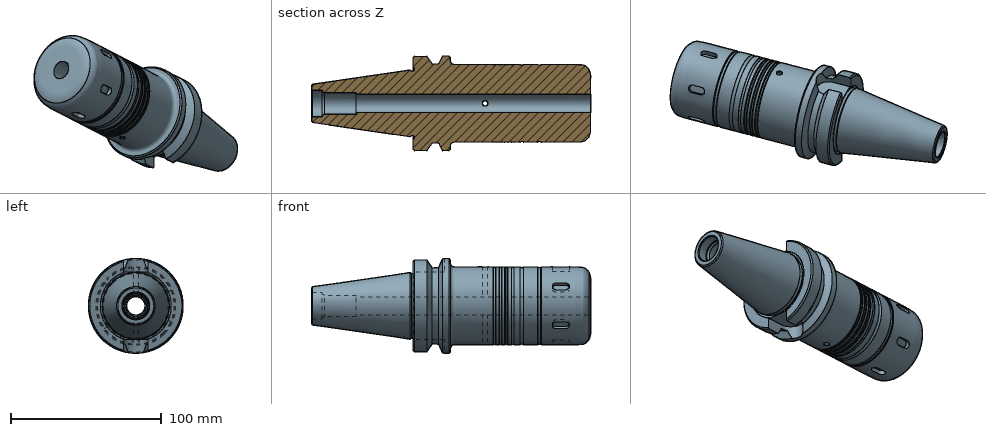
import cadquery as cq
import math

TOTAL_LENGTH = 185.4

TAPER_LARGE_RADIUS = 22.2
TAPER_LENGTH = 65.5
TAPER_RATIO = 7 / 24
TAPER_SMALL_RADIUS = TAPER_LARGE_RADIUS - TAPER_LENGTH * TAPER_RATIO / 2
TAPER_END_CHAMFER = 0.7
RELIEF_RADIUS = 21.5
RELIEF_SLOPE_LENGTH = 0.7
RELIEF_ROOT_RADIUS = 21.9
RELIEF_ROOT_LENGTH = 1.3

FLANGE_RADIUS = 31.5
FLANGE_START = 67.3
FLANGE_END = 92.1
FLANGE_CHAMFER = 1.0
FACE_RECESS_RADIUS = 23.5
FACE_RECESS_DEPTH = 0.7
GRIP_GROOVE_RADIUS = 26.5
GRIP_GROOVE_START = 76.5
GRIP_GROOVE_WIDTH = 10.2
GRIP_FLOOR_START = 80.1
GRIP_FLOOR_WIDTH = 4.3
KEY_SLOT_WIDTH = 16.1
KEY_SLOT_FLOOR = 22.5
KEY_SLOT_END = 88.3

BODY_RADIUS = 26.0
BODY_FILLET = 2.6

FINE_GROOVE_COUNT = 3
FINE_GROOVE_START = 120.3
FINE_GROOVE_PITCH = 3.9
FINE_GROOVE_WIDTH = 2.2
FINE_GROOVE_WALL = 0.5
FINE_GROOVE_DEPTH = 0.2
SQUARE_GROOVE_START = 132.5
SQUARE_GROOVE_WIDTH = 1.7
SQUARE_GROOVE_DEPTH = 0.2
ROUND_GROOVE_START = 138.3
ROUND_GROOVE_WIDTH = 2.5
ROUND_GROOVE_DEPTH = 0.5
NUT_GAP_START = 149.8
NUT_GAP_WIDTH = 2.8
NUT_GAP_WALL = 0.5
NUT_GAP_DEPTH = 0.46

NOSE_START = 175.2
NOSE_SHOULDER = 180.2
NOSE_SHOULDER_RADIUS = 25.5
NOSE_BEVEL_START = 182.5
NOSE_BEVEL_START_RADIUS = 24.3
NOSE_ARC_RISE = 0.2
NOSE_BEVEL_END = 184.1
NOSE_BEVEL_END_RADIUS = 22.6
NOSE_CROWN_X = 184.8
NOSE_CROWN_RADIUS = 20.5
NOSE_FACE_RADIUS = 16.9

WRENCH_SLOT_COUNT = 6
WRENCH_SLOT_CENTER = 165.4
WRENCH_SLOT_LENGTH = 11.3
WRENCH_SLOT_WIDTH = 5.2
WRENCH_SLOT_DEPTH = 3.2

BORE_MOUTH_CHAMFER = 0.5
PILOT_RADIUS = 8.7
PILOT_DEPTH = 7.0
THREAD_ENTRY_RADIUS = 8.0
THREAD_ENTRY_LENGTH = 1.5
THREAD_RADIUS = 7.0
THREAD_DEPTH = 29.7
THROUGH_DIAMETER = 12.0

CROSS_HOLE_X = 115.1
CROSS_HOLE_RADIUS = 1.7
CROSS_HOLE_MOUTH_RADIUS = 2.0


def turn(profile):
    """Revolve a closed (x, radius) profile about the X axis."""
    return profile.close().revolve(360, (0, 0, 0), (1, 0, 0))


def shank():
    """Taper with a chamfered end, followed by the relief neck running into the flange."""
    neck_end = FLANGE_START + FACE_RECESS_DEPTH
    return turn(
        cq.Workplane("XY")
        .lineTo(0, TAPER_SMALL_RADIUS - TAPER_END_CHAMFER)
        .lineTo(TAPER_END_CHAMFER, TAPER_SMALL_RADIUS + TAPER_END_CHAMFER * TAPER_RATIO / 2)
        .lineTo(TAPER_LENGTH, TAPER_LARGE_RADIUS)
        .lineTo(TAPER_LENGTH + RELIEF_SLOPE_LENGTH, RELIEF_RADIUS)
        .lineTo(neck_end - RELIEF_ROOT_LENGTH, RELIEF_RADIUS)
        .lineTo(neck_end, RELIEF_ROOT_RADIUS)
        .lineTo(neck_end, 0)
    )


def flange():
    """Grooved flange with a shallow recess in its face around the neck."""
    rim_radius = FLANGE_RADIUS - FLANGE_CHAMFER
    recess_floor = FLANGE_START + FACE_RECESS_DEPTH
    blank = turn(
        cq.Workplane("XY")
        .moveTo(recess_floor, 0)
        .lineTo(recess_floor, FACE_RECESS_RADIUS)
        .lineTo(FLANGE_START, FACE_RECESS_RADIUS)
        .lineTo(FLANGE_START, rim_radius)
        .lineTo(FLANGE_START + FLANGE_CHAMFER, FLANGE_RADIUS)
        .lineTo(GRIP_GROOVE_START, FLANGE_RADIUS)
        .lineTo(GRIP_FLOOR_START, GRIP_GROOVE_RADIUS)
        .lineTo(GRIP_FLOOR_START + GRIP_FLOOR_WIDTH, GRIP_GROOVE_RADIUS)
        .lineTo(GRIP_GROOVE_START + GRIP_GROOVE_WIDTH, FLANGE_RADIUS)
        .lineTo(FLANGE_END - FLANGE_CHAMFER, FLANGE_RADIUS)
        .lineTo(FLANGE_END, rim_radius)
        .lineTo(FLANGE_END, 0)
    )
    for side in (0, 180):
        blank = blank.cut(key_slot().rotate((0, 0, 0), (1, 0, 0), side))
    return blank


def key_slot():
    """Flat-floored slot on the +Z side, open toward the taper and round at the other end."""
    end_radius = KEY_SLOT_WIDTH / 2
    arc_center = KEY_SLOT_END - end_radius
    return (
        cq.Workplane("XY", origin=(0, 0, KEY_SLOT_FLOOR))
        .moveTo(FLANGE_START, -end_radius)
        .lineTo(arc_center, -end_radius)
        .threePointArc((KEY_SLOT_END, 0), (arc_center, end_radius))
        .lineTo(FLANGE_START, end_radius)
        .close()
        .extrude(FLANGE_RADIUS - KEY_SLOT_FLOOR)
    )


def body():
    """Body and nut as one cylinder, filleted into the flange and rounded off at the nose."""
    fillet_mid = BODY_FILLET * (1 - math.sqrt(0.5))
    arc_mid_x = (NOSE_SHOULDER + NOSE_BEVEL_START) / 2
    arc_mid_radius = (NOSE_SHOULDER_RADIUS + NOSE_BEVEL_START_RADIUS) / 2 + NOSE_ARC_RISE
    return turn(
        cq.Workplane("XY")
        .moveTo(FLANGE_END, 0)
        .lineTo(FLANGE_END, BODY_RADIUS + BODY_FILLET)
        .threePointArc(
            (FLANGE_END + fillet_mid, BODY_RADIUS + fillet_mid),
            (FLANGE_END + BODY_FILLET, BODY_RADIUS),
        )
        .lineTo(NOSE_START, BODY_RADIUS)
        .lineTo(NOSE_SHOULDER, NOSE_SHOULDER_RADIUS)
        .threePointArc((arc_mid_x, arc_mid_radius), (NOSE_BEVEL_START, NOSE_BEVEL_START_RADIUS))
        .lineTo(NOSE_BEVEL_END, NOSE_BEVEL_END_RADIUS)
        .threePointArc((NOSE_CROWN_X, NOSE_CROWN_RADIUS), (TOTAL_LENGTH, NOSE_FACE_RADIUS))
        .lineTo(TOTAL_LENGTH, 0)
    )


def flat_groove(start, width, depth, wall_run=0):
    """Flat-floored ring; wall_run is how far each wall leans along X, zero for square walls."""
    end = start + width
    floor_radius = BODY_RADIUS - depth
    clear_radius = BODY_RADIUS + depth
    profile = [
        (start, clear_radius),
        (start, BODY_RADIUS),
        (start + wall_run, floor_radius),
        (end - wall_run, floor_radius),
        (end, BODY_RADIUS),
        (end, clear_radius),
    ]
    return turn(cq.Workplane("XY").polyline(profile))


def round_groove(start, width, depth):
    """Ring with an arc-shaped floor."""
    end = start + width
    clear_radius = BODY_RADIUS + depth
    return turn(
        cq.Workplane("XY")
        .moveTo(start, clear_radius)
        .lineTo(start, BODY_RADIUS)
        .threePointArc((start + width / 2, BODY_RADIUS - depth), (end, BODY_RADIUS))
        .lineTo(end, clear_radius)
    )


def ring_grooves():
    """All ring grooves along the body."""
    grooves = flat_groove(NUT_GAP_START, NUT_GAP_WIDTH, NUT_GAP_DEPTH, NUT_GAP_WALL)
    grooves.add(flat_groove(SQUARE_GROOVE_START, SQUARE_GROOVE_WIDTH, SQUARE_GROOVE_DEPTH))
    grooves.add(round_groove(ROUND_GROOVE_START, ROUND_GROOVE_WIDTH, ROUND_GROOVE_DEPTH))
    for i in range(FINE_GROOVE_COUNT):
        start = FINE_GROOVE_START + i * FINE_GROOVE_PITCH
        grooves.add(flat_groove(start, FINE_GROOVE_WIDTH, FINE_GROOVE_DEPTH, FINE_GROOVE_WALL))
    return grooves.combine()


def wrench_slots():
    """Round-ended blind slots, equally spaced around the nut with one on the +Z side."""
    slot = (
        cq.Workplane("XY", origin=(WRENCH_SLOT_CENTER, 0, BODY_RADIUS - WRENCH_SLOT_DEPTH))
        .slot2D(WRENCH_SLOT_LENGTH, WRENCH_SLOT_WIDTH)
        .extrude(2 * WRENCH_SLOT_DEPTH)
    )
    slots = cq.Workplane("XY")
    for i in range(WRENCH_SLOT_COUNT):
        slots = slots.add(slot.rotate((0, 0, 0), (1, 0, 0), i * 360 / WRENCH_SLOT_COUNT))
    return slots.combine()


def bore():
    """Stepped axial bore: chamfered pilot, tapered entry to the thread bore, through hole."""
    return turn(
        cq.Workplane("XY")
        .lineTo(0, PILOT_RADIUS + BORE_MOUTH_CHAMFER)
        .lineTo(BORE_MOUTH_CHAMFER, PILOT_RADIUS)
        .lineTo(PILOT_DEPTH, PILOT_RADIUS)
        .lineTo(PILOT_DEPTH, THREAD_ENTRY_RADIUS)
        .lineTo(PILOT_DEPTH + THREAD_ENTRY_LENGTH, THREAD_RADIUS)
        .lineTo(THREAD_DEPTH, THREAD_RADIUS)
        .lineTo(THREAD_DEPTH, THROUGH_DIAMETER / 2)
        .lineTo(TOTAL_LENGTH, THROUGH_DIAMETER / 2)
        .lineTo(TOTAL_LENGTH, 0)
    )


def cross_hole():
    """Vertical hole through the body, countersunk at both mouths."""
    countersink = CROSS_HOLE_MOUTH_RADIUS - CROSS_HOLE_RADIUS
    half = (
        cq.Workplane("XZ")
        .lineTo(CROSS_HOLE_RADIUS, 0)
        .lineTo(CROSS_HOLE_RADIUS, BODY_RADIUS - countersink)
        .lineTo(CROSS_HOLE_MOUTH_RADIUS, BODY_RADIUS)
        .lineTo(0, BODY_RADIUS)
        .close()
        .revolve(360, (0, 0, 0), (0, 1, 0))
    )
    hole = half.union(half.mirror("XY"))
    return hole.translate((CROSS_HOLE_X, 0, 0))


result = (
    shank()
    .union(flange())
    .union(body())
    .cut(ring_grooves())
    .cut(wrench_slots())
    .cut(bore())
    .cut(cross_hole())
)